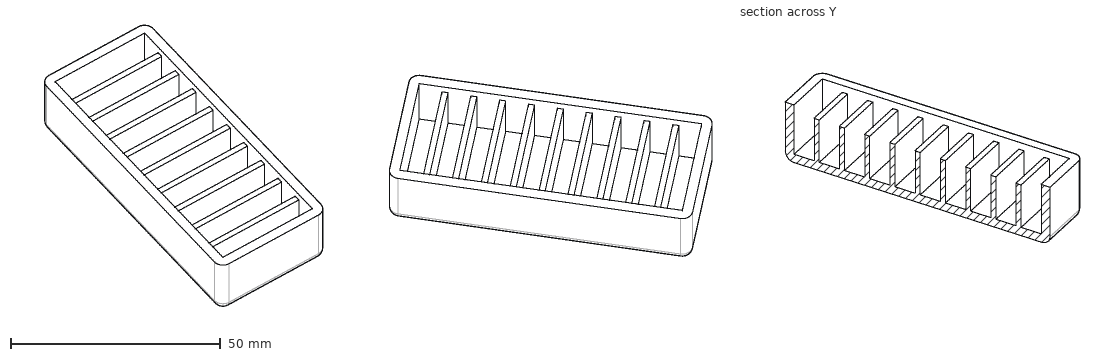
import cadquery as cq

length = 73.4
width = 31.3
height = 16.5
edge_radius = 2.5

wall = 2.5
floor = 2.5
cavity_length = length - 2 * wall
cavity_width = width - 2 * wall

divider_count = 9
divider_thickness = 1.5
divider_drop = 2.0
divider_height = height - floor - divider_drop
slot_length = (cavity_length - divider_count * divider_thickness) / (divider_count + 1)
divider_pitch = slot_length + divider_thickness


def make_tray():
    """Open box with rounded vertical and bottom edges."""
    block = (
        cq.Workplane("XY")
        .box(length, width, height, centered=(True, True, False))
        .edges("|Z")
        .fillet(edge_radius)
        .faces("<Z")
        .edges()
        .fillet(edge_radius)
    )
    cavity = (
        cq.Workplane("XY")
        .workplane(offset=floor)
        .rect(cavity_length, cavity_width)
        .extrude(height - floor)
    )
    return block.cut(cavity)


def make_dividers():
    """Row of parallel walls standing on the floor across the cavity."""
    return (
        cq.Workplane("XY")
        .workplane(offset=floor)
        .rarray(divider_pitch, 0.7, divider_count, 1)
        .rect(divider_thickness, cavity_width)
        .extrude(divider_height)
    )


result = make_tray().union(make_dividers())